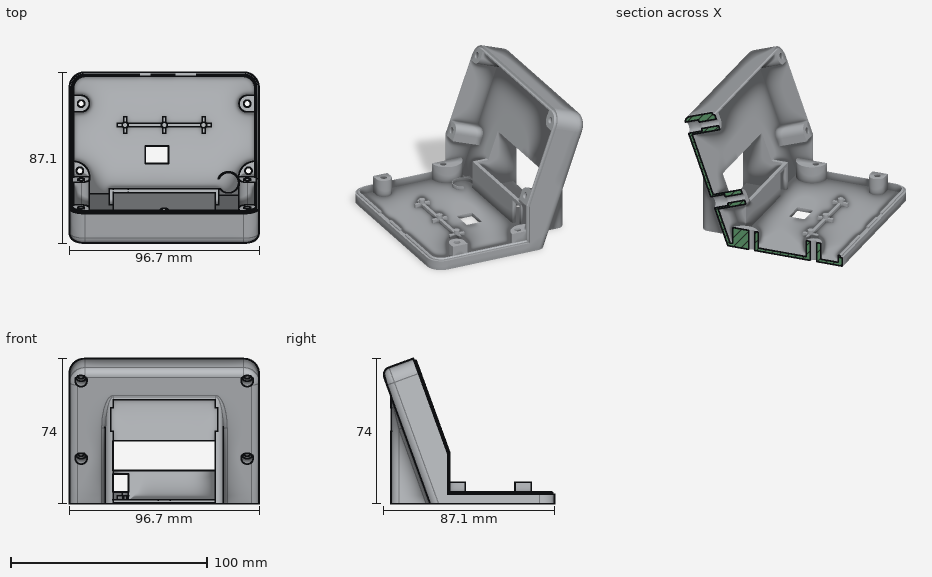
import cadquery as cq
import math


width = 96.7
tilt = math.radians(20)
tilt_sin = math.sin(tilt)
tilt_cos = math.cos(tilt)
back_height = 72.5
back_depth = 17.2
tray_front_y = 63.47
tray_height = 4.95
step_y = 9.05
corner_radius = 8.0
back_edge_radius = 4.0
side_wall = 2.2
floor = 2.0
back_wall = 2.0
reach = 130.0

lip_inset = 1.1
lip_height = 1.05
lip_chamfer = 0.45
lip_notches = ((-9.7, 6.0), (10.9, 11.2))

hood_rear_y = -20.0
hood_half_width = 30.0
hood_edge_radius = 4.0
hood_blend_radius = 2.0
bay_half_width = 26.0
bay_wall = 1.9
bay_front_y = 2.1
bay_top = 32.0
bay_wall_top = 17.0
door_seat_y = -18.1
door_edge_chamfer = 0.5
door_top = 52.9
clip_depth = 1.2
clip_bottom = 36.9
clip_top = 48.9
wire_gap_width = 7.8
wire_gap_top = 15.1
drain_diameter = 6.0
drain_y = -8.9

screw_diameter = 3.4
screw_head_diameter = 6.0
screw_head_depth = 8.0
boss_x = 42.3
boss_radius = 4.2
boss_slopes = (24.5, 66.5)
front_post_y = 47.4
post_top = 11.0
rear_post_radius = 8.2
rear_post_y = 9.8
rear_screw_x = 42.95
rear_screw_y = 13.2

window_x = (-9.6, 2.1)
window_y = (17.0, 25.7)
pin_diameter = 3.0
pin_pitch = 20.0
pin_x = 0.1
pin_y = 36.5
pin_top = 6.0
rib_width = 1.6
rib_top = 4.0
cross_rib_length = 8.2
long_rib_length = 48.0

holder_x = 32.7
holder_y = 7.1
holder_radius = 5.2
holder_wall = 0.4
holder_top = 3.8
holder_gap_top_y = 9.1

inner_half_width = width / 2 - side_wall
bay_outer_half_width = bay_half_width + bay_wall
bay_outer_y = bay_front_y + bay_wall
boss_length = back_depth + lip_height

slope_plane = cq.Plane(origin=(0, 0, 0), xDir=(-1, 0, 0), normal=(0, tilt_cos, tilt_sin))


def block(x_range, y_range, z_range):
    """Axis-aligned box between the given limits."""
    size = [high - low for low, high in (x_range, y_range, z_range)]
    start = (x_range[0], y_range[0], z_range[0])
    return cq.Workplane("XY").box(*size, centered=False).translate(start)


def cylinder(x, y, radius, bottom, top):
    """Upright cylinder."""
    return cq.Workplane("XY", origin=(x, y, bottom)).circle(radius).extrude(top - bottom)


def envelope(inset, bottom, back_offset, edge_radius=0):
    """Rounded tray prism crossed with the rounded leaning prism, all sides moved in by inset."""
    half = width / 2 - inset
    radius = corner_radius - inset
    tray = block((-half, half), (-reach, tray_front_y - inset), (bottom, reach))
    tray = tray.edges("|Z and >Y").fillet(radius)
    leaning = (
        cq.Workplane(slope_plane)
        .workplane(offset=back_offset)
        .center(0, (back_height - inset - reach) / 2)
        .rect(2 * half, back_height - inset + reach)
        .extrude(2 * reach)
    )
    normal = slope_plane.zDir
    leaning = leaning.edges(cq.selectors.ParallelDirSelector(normal)).fillet(radius)
    if edge_radius:
        back_face = leaning.faces(cq.selectors.DirectionMinMaxSelector(normal, False))
        leaning = back_face.edges().fillet(edge_radius)
    return tray.intersect(leaning)


def rim_prism(rise):
    """Everything below and behind the rim, with the rim raised by rise."""
    step = step_y + rise
    depth = back_depth + rise
    knee_z = (depth - step * tilt_cos) / tilt_sin
    far_y = (depth - reach * tilt_sin) / tilt_cos
    return (
        cq.Workplane("YZ")
        .moveTo(reach, 0)
        .lineTo(reach, tray_height + rise)
        .lineTo(step, tray_height + rise)
        .lineTo(step, knee_z)
        .lineTo(far_y, reach)
        .lineTo(-reach, reach)
        .lineTo(-reach, 0)
        .close()
        .extrude(width, both=True)
    )


def make_outer_body():
    """Solid outer form with the blended hood."""
    body = envelope(0, 0, 0, back_edge_radius).intersect(rim_prism(0))
    hood_top = -hood_rear_y / math.tan(tilt)
    hood = (
        cq.Workplane("YZ")
        .moveTo(hood_rear_y, 0)
        .lineTo(hood_rear_y, hood_top)
        .lineTo(back_wall - hood_top * math.tan(tilt), hood_top)
        .lineTo(back_wall, 0)
        .close()
        .extrude(hood_half_width, both=True)
    )
    hood = hood.edges("|Z and <Y").fillet(hood_edge_radius)
    body = body.union(hood)
    return body.newObject(hood_seam(body, hood_top)).fillet(hood_blend_radius)


def hood_seam(body, hood_top):
    """Edges where the hood meets the leaning back face."""
    tolerance = 0.01
    seam = []
    for edge in body.edges().vals():
        center = edge.Center()
        on_back_face = abs(center.dot(slope_plane.zDir)) < tolerance
        on_hood = abs(center.x) < hood_half_width + tolerance and center.z < hood_top + tolerance
        if on_back_face and on_hood:
            seam.append(edge)
    return seam


def make_lip():
    """Raised inner lip following the whole rim, notched along the front of the tray."""
    lip = envelope(lip_inset, 0, 0).intersect(rim_prism(lip_height))
    lip = lip.newObject(lip_outer_edges(lip)).chamfer(lip_chamfer)
    for center_x, length in lip_notches:
        x_range = (center_x - length / 2, center_x + length / 2)
        y_range = (tray_front_y - corner_radius, tray_front_y)
        lip = lip.cut(block(x_range, y_range, (tray_height, reach)))
    return lip.cut(envelope(lip_inset, 0, 0).intersect(rim_prism(-lip_height)))


def lip_outer_edges(lip):
    """Top outer edges of the lip, leaving out the two bends across the step."""
    tolerance = 0.01
    step = step_y + lip_height
    edges = []
    for edge in lip.edges().vals():
        center = edge.Center()
        across_step = abs(edge.tangentAt(0).x) > 1 - tolerance and abs(center.y - step) < tolerance
        on_tray_rim = abs(center.z - tray_height - lip_height) < tolerance
        on_step_rim = abs(center.y - step) < tolerance and center.z > tray_height
        on_slope_rim = abs(center.dot(slope_plane.zDir) - back_depth - lip_height) < tolerance
        if (on_tray_rim or on_step_rim or on_slope_rim) and not across_step:
            edges.append(edge)
    return edges


def slope_sketch(x, slope, offset):
    """Workplane on the slope, centred on a screw and raised from the back face."""
    return cq.Workplane(slope_plane).workplane(offset=offset).center(-x, slope)


def make_slope_bosses():
    """Screw bosses on the leaning back, merged with the side walls and squared at the outer ends."""
    bosses = cq.Workplane("XY")
    to_wall = inner_half_width - boss_x
    length = boss_length - back_wall
    low_slope, high_slope = boss_slopes
    for side in (-1, 1):
        for slope in boss_slopes:
            post = slope_sketch(side * boss_x, slope, back_wall).circle(boss_radius)
            bosses = bosses.union(post.extrude(length))
            pad_x = side * (boss_x + to_wall / 2)
            wall_pad = slope_sketch(pad_x, slope, back_wall).rect(to_wall, 2 * boss_radius)
            bosses = bosses.union(wall_pad.extrude(length))
        end_width = to_wall + boss_radius
        end_x = side * (inner_half_width - end_width / 2)
        for start, end in ((low_slope - boss_radius, low_slope), (high_slope, back_height)):
            end_pad = slope_sketch(end_x, (start + end) / 2, back_wall).rect(end_width, end - start)
            bosses = bosses.union(end_pad.extrude(length))
    return bosses.intersect(envelope(side_wall, 0, 0)).intersect(rim_prism(lip_height))


def make_tray_posts():
    """Screw posts standing on the tray floor, flat against the side walls."""
    posts = cq.Workplane("XY")
    keep = block((-inner_half_width, inner_half_width), (0, tray_front_y), (0, post_top))
    for side in (-1, 1):
        posts = posts.union(cylinder(side * boss_x, front_post_y, boss_radius, 0, post_top))
        pad_x = sorted((side * boss_x, side * inner_half_width))
        pad_y = (front_post_y - boss_radius, front_post_y + boss_radius)
        posts = posts.union(block(pad_x, pad_y, (0, post_top)))
        posts = posts.union(cylinder(side * inner_half_width, rear_post_y, rear_post_radius, 0, post_top))
    return posts.intersect(keep)


def make_pins():
    """Row of three locating pins with crossing ribs."""
    half_rib = rib_width / 2
    half_long = long_rib_length / 2
    half_cross = cross_rib_length / 2
    pins = block((pin_x - half_long, pin_x + half_long), (pin_y - half_rib, pin_y + half_rib), (0, rib_top))
    for x in (pin_x - pin_pitch, pin_x, pin_x + pin_pitch):
        cross_x = (x - half_rib, x + half_rib)
        cross_y = (pin_y - half_cross, pin_y + half_cross)
        pins = pins.union(block(cross_x, cross_y, (0, rib_top)))
        pins = pins.union(cylinder(x, pin_y, pin_diameter / 2, 0, pin_top))
    return pins


def make_holder():
    """Low round holder between the compartment and a slope boss, open toward the compartment."""
    boss_edge = boss_x - boss_radius
    holder = cylinder(holder_x, holder_y, holder_radius + holder_wall, 0, holder_top)
    holder = holder.cut(block((0, holder_x), (bay_outer_y, holder_gap_top_y), (0, holder_top)))
    holder = holder.union(block((bay_outer_half_width, boss_edge), (0, bay_outer_y), (0, holder_top)))
    return holder.cut(cylinder(holder_x, holder_y, holder_radius, floor, holder_top))


def make_bay_walls():
    """Walls carrying the battery compartment into the enclosure."""
    wall_x = (-bay_outer_half_width, bay_outer_half_width)
    walls = block(wall_x, (hood_rear_y, bay_outer_y), (0, bay_wall_top))
    return walls.intersect(envelope(0, 0, 0))


def cut_bay(body):
    """Battery compartment, door recess with a bevelled floor edge, clip slots, wire gap and drain hole."""
    bay_x = (-bay_half_width, bay_half_width)
    edge_bevel = (
        cq.Workplane("YZ")
        .moveTo(door_seat_y, 0)
        .lineTo(door_seat_y + door_edge_chamfer, 0)
        .lineTo(door_seat_y, door_edge_chamfer)
        .close()
        .extrude(bay_half_width, both=True)
    )
    body = body.cut(edge_bevel)
    clip_x = (-bay_half_width - clip_depth, bay_half_width + clip_depth)
    body = body.cut(block(bay_x, (door_seat_y, bay_front_y), (floor, bay_top)))
    body = body.cut(block(bay_x, (-reach, door_seat_y), (0, door_top)))
    body = body.cut(block(clip_x, (-reach, door_seat_y), (clip_bottom, clip_top)))
    gap_x = (-bay_half_width, -bay_half_width + wire_gap_width)
    body = body.cut(block(gap_x, (bay_front_y, bay_outer_y), (floor, wire_gap_top)))
    return body.cut(cylinder(0, drain_y, drain_diameter / 2, 0, floor))


def cut_screw_holes(body):
    """Screw holes through the slope bosses, with head recesses, and through the tray posts."""
    for side in (-1, 1):
        for slope in boss_slopes:
            hole = slope_sketch(side * boss_x, slope, 0).circle(screw_diameter / 2)
            body = body.cut(hole.extrude(boss_length))
            recess = slope_sketch(side * boss_x, slope, 0).circle(screw_head_diameter / 2)
            body = body.cut(recess.extrude(screw_head_depth, both=True))
        for x, y in ((boss_x, front_post_y), (rear_screw_x, rear_screw_y)):
            body = body.cut(cylinder(side * x, y, screw_diameter / 2, 0, post_top))
    return body


def make_part():
    """Hollow shell with its lip, inner features and openings."""
    cavity = envelope(side_wall, floor, back_wall)
    body = make_outer_body().union(make_lip()).cut(cavity)
    for feature in (make_slope_bosses(), make_tray_posts(), make_pins(), make_holder(), make_bay_walls()):
        body = body.union(feature)
    body = cut_screw_holes(cut_bay(body))
    return body.cut(block(window_x, window_y, (0, floor)))


result = make_part()